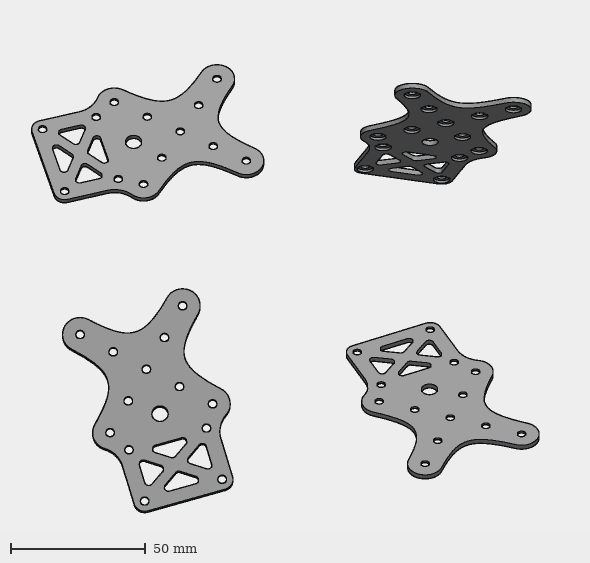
import cadquery as cq
import math

thickness = 2.0
total_length = 79.4

arm_reach = 19.85
overall_width = 52.8
lobe_radius = overall_width / 2 - arm_reach
waist = 15.0
inner_reach = arm_reach / 2

tail_half_width = 19.05
tail_corner_radius = 4.05
neck_radius = 10.0
tail_hole_spacing_y = 20.7

screw_diameter = 3.2
screw_head_diameter = 6.0
screw_head_depth = 1.0
cable_diameter = 6.0
cable_hole_y = -18.0

window_half_width = 12.9
window_half_height = 9.3
strut_width = 4.05
window_corner_radius = 1.5

tail_y = arm_reach + lobe_radius - total_length
tail_hole_x = tail_half_width - tail_corner_radius
tail_hole_low_y = tail_y + tail_corner_radius
tail_hole_high_y = tail_hole_low_y + tail_hole_spacing_y
window_y = (tail_hole_low_y + tail_hole_high_y) / 2

neck_x = tail_half_width + neck_radius
neck_distance = lobe_radius + neck_radius
neck_y = -arm_reach - math.sqrt(neck_distance**2 - (neck_x - arm_reach) ** 2)


def lobe_point(side, end, angle):
    """Point on an arm lobe; the angle is measured up from the outward side."""
    return (
        side * (arm_reach + lobe_radius * math.cos(math.radians(angle))),
        end * arm_reach + lobe_radius * math.sin(math.radians(angle)),
    )


def make_plate():
    neck_angle = math.atan2(neck_y + arm_reach, neck_x - arm_reach)
    neck_middle_angle = math.pi + neck_angle / 2
    neck_middle = (
        neck_x + neck_radius * math.cos(neck_middle_angle),
        neck_y + neck_radius * math.sin(neck_middle_angle),
    )
    lobe_end_angle = math.degrees(neck_angle)
    left_neck_middle = (-neck_middle[0], neck_middle[1])

    return (
        cq.Workplane("XY")
        .moveTo(-tail_hole_x, tail_y)
        .lineTo(tail_hole_x, tail_y)
        .radiusArc((tail_half_width, tail_hole_low_y), -tail_corner_radius)
        .lineTo(tail_half_width, neck_y)
        .threePointArc(neck_middle, lobe_point(1, -1, lobe_end_angle))
        .threePointArc(lobe_point(1, -1, 0), lobe_point(1, -1, 45))
        .spline([(waist, 0), lobe_point(1, 1, -45)], tangents=[(-1, 1), (1, 1)], includeCurrent=True)
        .threePointArc(lobe_point(1, 1, 45), lobe_point(1, 1, 135))
        .spline([(0, waist), lobe_point(-1, 1, 135)], tangents=[(-1, -1), (-1, 1)], includeCurrent=True)
        .threePointArc(lobe_point(-1, 1, 45), lobe_point(-1, 1, -45))
        .spline([(-waist, 0), lobe_point(-1, -1, 45)], tangents=[(1, -1), (-1, -1)], includeCurrent=True)
        .threePointArc(lobe_point(-1, -1, 0), lobe_point(-1, -1, lobe_end_angle))
        .threePointArc(left_neck_middle, (-tail_half_width, neck_y))
        .lineTo(-tail_half_width, tail_hole_low_y)
        .radiusArc((-tail_hole_x, tail_y), -tail_corner_radius)
        .close()
        .extrude(thickness)
    )


def window(tip, corner):
    """Cutter for one window: a tip on a centre line and one of two mirrored corners."""
    tip_x, tip_y = tip
    x, y = corner
    other = (-x, y) if tip_x == 0 else (x, -y)
    return (
        cq.Workplane("XY")
        .polyline([tip, corner, other])
        .close()
        .extrude(thickness)
        .edges("|Z")
        .fillet(window_corner_radius)
        .translate((0, window_y, 0))
    )


def make_windows():
    strut_angle = math.atan2(tail_hole_spacing_y / 2, tail_hole_x)
    slope = math.tan(strut_angle)
    tip_x = strut_width / 2 / math.sin(strut_angle)
    tip_y = strut_width / 2 / math.cos(strut_angle)
    corner_x = (window_half_height - tip_y) / slope
    corner_y = (window_half_width - tip_x) * slope

    windows = cq.Workplane("XY")
    for sign in (-1, 1):
        windows = windows.add(window((0, sign * tip_y), (corner_x, sign * window_half_height)))
        windows = windows.add(window((sign * tip_x, 0), (sign * window_half_width, corner_y)))
    return windows.combine()


def make_holes():
    screw_points = [(0, 0)]
    for side in (-1, 1):
        for reach in (arm_reach, inner_reach):
            screw_points += [(side * reach, reach), (side * reach, -reach)]
        for y in (tail_hole_low_y, tail_hole_high_y):
            screw_points.append((side * tail_hole_x, y))
    screws = cq.Workplane("XY").pushPoints(screw_points).circle(screw_diameter / 2).extrude(thickness)
    head_circles = cq.Workplane("XY").pushPoints(screw_points).circle(screw_head_diameter / 2)
    heads = head_circles.extrude(screw_head_depth)
    cable = cq.Workplane("XY").center(0, cable_hole_y).circle(cable_diameter / 2).extrude(thickness)
    return screws.union(heads).union(cable)


result = make_plate().cut(make_windows()).cut(make_holes())